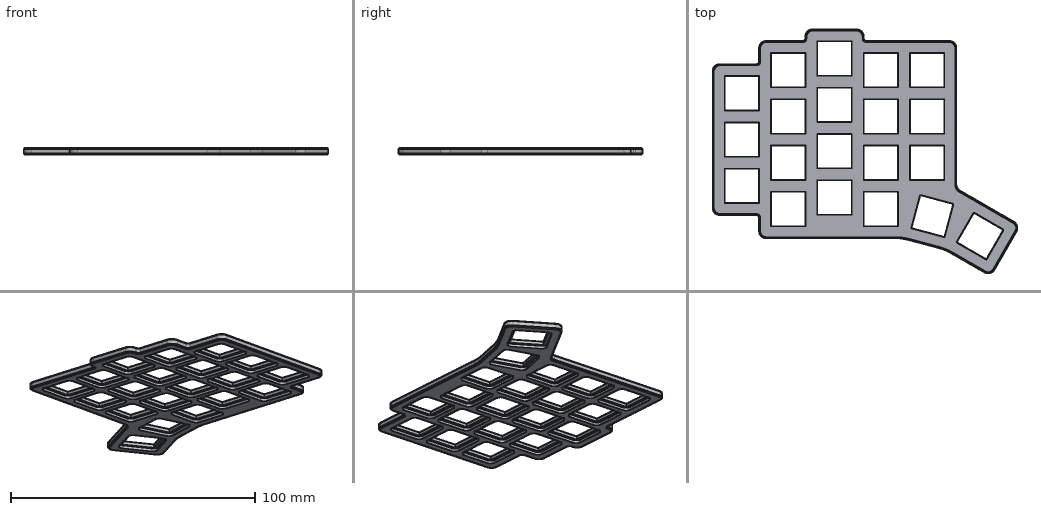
import cadquery as cq
import math

length = 124.8
width = 100.0
thickness = 2.7
edge_chamfer = 0.5

cutout = 14.0
pitch = 19.0
margin = 5.0
cell = cutout + 2 * margin

lip_thickness = 1.5
relief = 16.4
relief_radius = 2.1

column_keys = [3, 4, 4, 4, 3]
column_lift = [9.5, 0.0, 4.7, 0.0, pitch]

inner_thumb_x, inner_thumb_y, inner_thumb_tilt = 90.0, 9.1, -15
outer_thumb_tilt = -30

corner_radius = 3.0
notch_radius = 1.0
elbow_radius = 3.0
bend_radius = 20.0


def column_left(column):
    return column * pitch


def column_top(column):
    return column_lift[column] + (column_keys[column] - 1) * pitch + cell


def thumb_point(centre_x, centre_y, tilt, across, up):
    """Point given in the tilted frame of a thumb key."""
    angle = math.radians(tilt)
    return (
        centre_x + across * math.cos(angle) - up * math.sin(angle),
        centre_y + across * math.sin(angle) + up * math.cos(angle),
    )


def outer_corner(across, up):
    return thumb_point(outer_thumb_x, outer_thumb_y, outer_thumb_tilt, across, up)


def edge_height(point, tilt, x):
    """Height at x of the line through a point at the given tilt."""
    return point[1] + (x - point[0]) * math.tan(math.radians(tilt))


half_cell = cell / 2

tilt_spread = math.cos(math.radians(outer_thumb_tilt)) - math.sin(math.radians(outer_thumb_tilt))
outer_thumb_reach = (half_cell - corner_radius) * tilt_spread + corner_radius
outer_thumb_x = length - outer_thumb_reach
outer_thumb_y = column_top(2) - width + outer_thumb_reach

grid_right = column_left(4) + cell
inner_bottom = thumb_point(inner_thumb_x, inner_thumb_y, inner_thumb_tilt, 0, -half_cell)
outer_bottom_right = outer_corner(half_cell, -half_cell)
outer_top_right = outer_corner(half_cell, half_cell)

inner_slope = math.tan(math.radians(inner_thumb_tilt))
outer_slope = math.tan(math.radians(outer_thumb_tilt))
first_bend = (inner_bottom[0] - inner_bottom[1] / inner_slope, 0)
second_bend_x = (
    outer_bottom_right[1] - inner_bottom[1]
    + inner_slope * inner_bottom[0] - outer_slope * outer_bottom_right[0]
) / (inner_slope - outer_slope)
second_bend = (second_bend_x, edge_height(inner_bottom, inner_thumb_tilt, second_bend_x))
elbow = (grid_right, edge_height(outer_top_right, outer_thumb_tilt, grid_right))

outline = [
    ((column_left(1), 0), corner_radius),
    (first_bend, bend_radius),
    (second_bend, bend_radius),
    (outer_bottom_right, corner_radius),
    (outer_top_right, corner_radius),
    (elbow, elbow_radius),
    ((grid_right, column_top(3)), corner_radius),
    ((column_left(2) + cell, column_top(3)), notch_radius),
    ((column_left(2) + cell, column_top(2)), corner_radius),
    ((column_left(2), column_top(2)), corner_radius),
    ((column_left(2), column_top(1)), notch_radius),
    ((column_left(1), column_top(1)), corner_radius),
    ((column_left(1), column_top(0)), notch_radius),
    ((0, column_top(0)), corner_radius),
    ((0, column_lift[0]), corner_radius),
    ((column_left(1), column_lift[0]), notch_radius),
]


def make_plate():
    corners = [corner for corner, radius in outline]
    plate = cq.Workplane("XY").polyline(corners).close().extrude(thickness)
    for (x, y), radius in outline:
        nearest = cq.selectors.NearestToPointSelector((x, y, thickness / 2))
        plate = plate.edges("|Z").edges(nearest).fillet(radius)
    return plate.faces("<Z or >Z").edges().chamfer(edge_chamfer)


def key_cutout(x, y, tilt):
    block = cq.Workplane("XY").rect(cutout, cutout).extrude(thickness)
    pocket = cq.Workplane("XY").rect(relief, relief).extrude(thickness - lip_thickness)
    pocket = pocket.edges("|Z").fillet(relief_radius)
    return block.union(pocket).rotate((0, 0, 0), (0, 0, 1), tilt).translate((x, y, 0))


result = make_plate()
for column, (keys, lift) in enumerate(zip(column_keys, column_lift)):
    for row in range(keys):
        key_x = column_left(column) + half_cell
        key_y = lift + row * pitch + half_cell
        result = result.cut(key_cutout(key_x, key_y, 0))
result = result.cut(key_cutout(inner_thumb_x, inner_thumb_y, inner_thumb_tilt))
result = result.cut(key_cutout(outer_thumb_x, outer_thumb_y, outer_thumb_tilt))